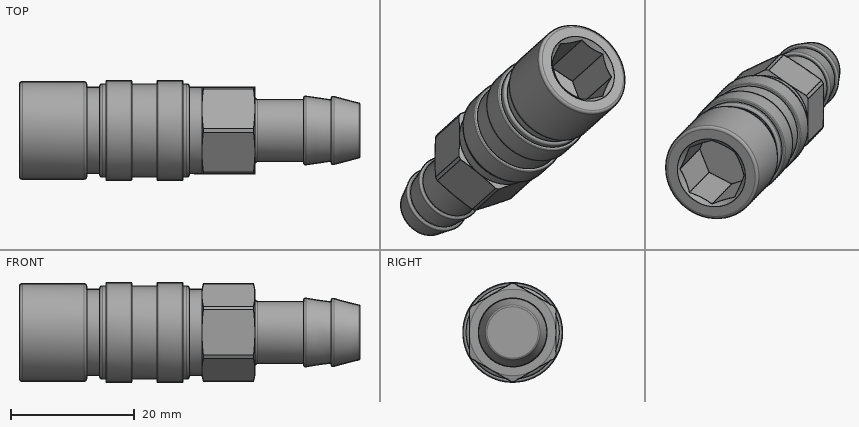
import cadquery as cq
import math

total_length = 55.05

sleeve_dia = 15.8
sleeve_length = 10.9
sleeve_edge_radius = 0.5

neck_dia = 14.0
collar_dia = 15.1
collar_start = 12.95
collar_end = 27.45
collar_edge_radius = 0.5
band_dia = 16.15
band_width = 4.2
band_offset = 1.05
band_edge_radius = 0.15

hex_sides = 6
hex_flats = neck_dia
hex_corner_dia = 15.8
hex_start = 29.5
hex_end = 38.05
hex_chamfer_length = 0.2

tail_dia = 10.1
tail_root_radius = 0.45
barb_dia = 11.25
barb_valley_dia = 9.9
barb_starts = (45.9, 50.35)
barb_crest_radius = 0.35
tip_dia = 8.75
tip_edge_radius = 0.3

mouth_dia = 11.5
octagon_corner_dia = 10.85
octagon_sides = 8
socket_depth = sleeve_length


def cylinder(start, end, diameter):
    """Solid round bar along X."""
    return cq.Workplane("YZ", origin=(start, 0, 0)).circle(diameter / 2).extrude(end - start)


def cone(start, end, start_dia, end_dia):
    """Solid tapered bar along X."""
    return (
        cq.Workplane("XY")
        .polyline([(start, 0), (start, start_dia / 2), (end, end_dia / 2), (end, 0)])
        .close()
        .revolve(360, (0, 0, 0), (1, 0, 0))
    )


def make_sleeve():
    return cylinder(0, sleeve_length, sleeve_dia).edges().fillet(sleeve_edge_radius)


def make_locking_ring():
    ring = cylinder(collar_start, collar_end, collar_dia).edges().fillet(collar_edge_radius)
    first_band = collar_start + band_offset
    second_band = collar_end - band_offset - band_width
    for start in (first_band, second_band):
        band = cylinder(start, start + band_width, band_dia).edges().fillet(band_edge_radius)
        ring = ring.union(band)
    return ring


def make_hexagon():
    """Hexagon with corners up and down, trimmed by a bar with both ends tapered."""
    point_dia = hex_flats / math.cos(math.pi / hex_sides)
    length = hex_end - hex_start
    prism = (
        cq.Workplane("YZ", origin=(hex_start, 0, 0))
        .transformed(rotate=(0, 0, 90))
        .polygon(hex_sides, point_dia)
        .extrude(length)
    )
    taper_start = hex_start + hex_chamfer_length
    taper_end = hex_end - hex_chamfer_length
    trim = (
        cone(hex_start, taper_start, hex_flats, hex_corner_dia)
        .union(cylinder(taper_start, taper_end, hex_corner_dia))
        .union(cone(taper_end, hex_end, hex_corner_dia, hex_flats))
    )
    return prism.intersect(trim)


def make_barb(start, end, end_dia):
    return cone(start, end, barb_dia, end_dia).faces("<X").edges().fillet(barb_crest_radius)


def make_tail_root():
    """Concave fillet between the hexagon's end face and the tail."""
    tail_radius = tail_dia / 2
    arc_reach = tail_root_radius * (1 - math.sqrt(0.5))
    return (
        cq.Workplane("XY")
        .moveTo(hex_end, 0)
        .lineTo(hex_end, tail_radius + tail_root_radius)
        .threePointArc(
            (hex_end + arc_reach, tail_radius + arc_reach),
            (hex_end + tail_root_radius, tail_radius),
        )
        .lineTo(hex_end + tail_root_radius, 0)
        .close()
        .revolve(360, (0, 0, 0), (1, 0, 0))
    )


def make_tail():
    first_barb, second_barb = barb_starts
    tail = cylinder(hex_end, first_barb, tail_dia).union(make_tail_root())
    tail = tail.union(make_barb(first_barb, second_barb, barb_valley_dia))
    tip = make_barb(second_barb, total_length, tip_dia)
    return tail.union(tip.faces(">X").edges().fillet(tip_edge_radius))


def make_socket():
    octagon = cq.Workplane("YZ").polygon(octagon_sides, octagon_corner_dia).extrude(socket_depth)
    octagon_flats = octagon_corner_dia * math.cos(math.pi / octagon_sides)
    lead_in_length = (mouth_dia - octagon_flats) / 2
    lead_in = cone(0, lead_in_length, mouth_dia, octagon_flats)
    return octagon.union(lead_in)


result = make_sleeve().union(cylinder(sleeve_length / 2, hex_start, neck_dia))
result = result.union(make_locking_ring()).union(make_hexagon()).union(make_tail())
result = result.cut(make_socket())